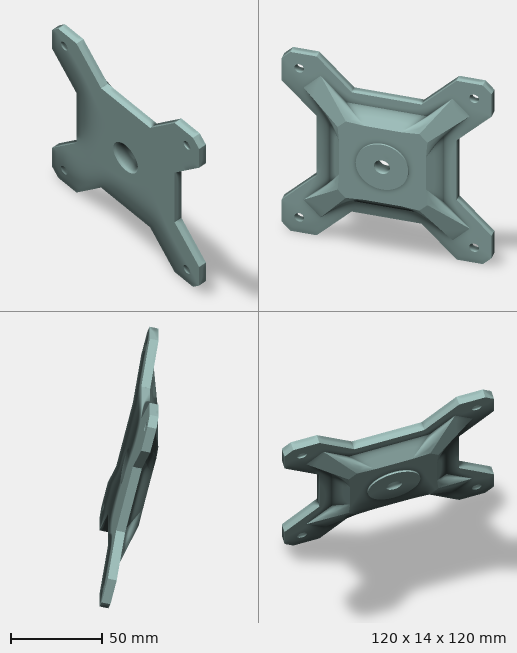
import cadquery as cq

SPAN = 120.0
PLATE_THICKNESS = 5.0
TOTAL_DEPTH = 14.0
BOSS_HEIGHT = 1.1
HUB_HEIGHT = TOTAL_DEPTH - BOSS_HEIGHT - PLATE_THICKNESS
HALF_SPAN = SPAN / 2
BODY_HALF = SPAN / 3
EDGE_HALF = SPAN / 6
TIP_CHAMFER = 5.0

HUB_SIDE = 32.8
HUB_BASE = {"edge_half": 23.0, "side": HUB_SIDE, "tip_far": 47.5, "tip_near": 37.7}
HUB_TOP = {"edge_half": 10.7, "side": HUB_SIDE - HUB_HEIGHT, "tip_far": 25.7, "tip_near": 21.0}
BOSS_DIAMETER = 30.0

CORNER_HOLE_DIAMETER = 5.5
CORNER_HOLE_SPACING = SPAN * 5 / 6
CENTER_HOLE_DIAMETER = 9.0
SINK_DIAMETER = SPAN / 6
SINK_ANGLE = 90.0


def four_way_outline(quarter):
    """Repeat one quarter of an outline around the centre in 90 degree steps."""
    points = []
    for _ in range(4):
        points += quarter
        quarter = [(-z, x) for x, z in quarter]
    return points


def rear_plane(y):
    """Sketch plane at depth y whose normal points to +Y."""
    return cq.Workplane("XZ", origin=(0, y, 0)).transformed(rotate=(180, 0, 0))


def make_plate():
    tip = HALF_SPAN - TIP_CHAMFER
    quarter = [
        (BODY_HALF, -EDGE_HALF),
        (BODY_HALF, EDGE_HALF),
        (HALF_SPAN, BODY_HALF),
        (HALF_SPAN, tip),
        (tip, HALF_SPAN),
        (BODY_HALF, HALF_SPAN),
    ]
    return rear_plane(0).polyline(four_way_outline(quarter)).close().extrude(PLATE_THICKNESS)


def hub_outline(edge_half, side, tip_far, tip_near):
    quarter = [
        (side, -edge_half),
        (side, edge_half),
        (tip_far, tip_near),
        (tip_near, tip_far),
    ]
    return four_way_outline(quarter)


def make_hub():
    return (
        rear_plane(PLATE_THICKNESS)
        .polyline(hub_outline(**HUB_BASE)).close()
        .workplane(offset=HUB_HEIGHT)
        .polyline(hub_outline(**HUB_TOP)).close()
        .loft(ruled=True)
    )


def make_boss():
    return rear_plane(TOTAL_DEPTH - BOSS_HEIGHT).circle(BOSS_DIAMETER / 2).extrude(BOSS_HEIGHT)


def front_face(body):
    """Sketch plane on the flat front of the plate, centred on the part."""
    return body.faces("<Y").workplane(origin=(0, 0, 0))


def cut_center_hole(body):
    return front_face(body).cskHole(CENTER_HOLE_DIAMETER, SINK_DIAMETER, SINK_ANGLE)


def cut_corner_holes(body):
    return (
        front_face(body)
        .rect(CORNER_HOLE_SPACING, CORNER_HOLE_SPACING, forConstruction=True)
        .vertices()
        .hole(CORNER_HOLE_DIAMETER)
    )


body = make_plate().union(make_hub()).union(make_boss())
result = cut_corner_holes(cut_center_hole(body))